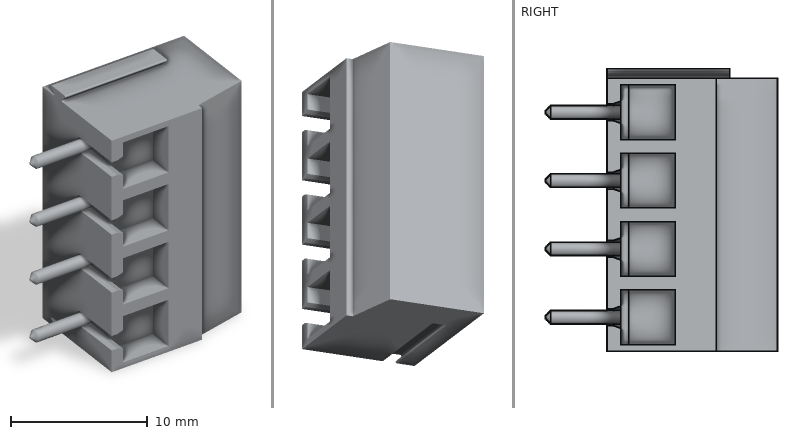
import cadquery as cq
import math

POLES = 4
PITCH = 5.0
HOUSING_WIDTH = 9.0
HOUSING_DEPTH = 12.5
HOUSING_HEIGHT = POLES * PITCH
STEP_DEPTH = 8.0
STEP_WIDTH = 8.5
BACK_WIDTH = 7.5

RAIL_X = 2.0
RAIL_LENGTH = 9.0
RAIL_HEIGHT = 0.7
RAIL_TOP_WIDTH = 2.2
RAIL_FOOT_WIDTH = 0.65
RAIL_ROUNDING = 0.1

PIN_X = 5.0
PIN_DIAMETER = 1.0
PIN_LENGTH = 4.5
PIN_TIP_DIAMETER = 0.2
PIN_TIP_LENGTH = (PIN_DIAMETER - PIN_TIP_DIAMETER) / 2

SLOT_WIDTH = 1.25
SLOT_STRAIGHT_DEPTH = 0.5
SLOT_DEPTH = 1.0
SLOT_FLOOR_WIDTH = 1.6
SLOT_FLARE_ANGLE = math.degrees(
    math.atan2((SLOT_FLOOR_WIDTH - SLOT_WIDTH) / 2, SLOT_DEPTH - SLOT_STRAIGHT_DEPTH)
)

CHAMBER_SIZE = 4.0
CHAMBER_X = 7.0
NOSE_RADIUS = 0.3


def make_housing():
    outline = [
        (0, 0),
        (HOUSING_WIDTH, 0),
        (HOUSING_WIDTH, STEP_DEPTH),
        (STEP_WIDTH, STEP_DEPTH),
        (BACK_WIDTH, HOUSING_DEPTH),
        (0, HOUSING_DEPTH),
    ]
    return cq.Workplane("XY").polyline(outline).close().extrude(HOUSING_HEIGHT)


def make_dovetail(base_z):
    """Dovetail bar standing on base_z, running back from the front face."""
    corner_angle = math.atan2(RAIL_HEIGHT, (RAIL_TOP_WIDTH - RAIL_FOOT_WIDTH) / 2)
    setback = RAIL_ROUNDING / math.tan(corner_angle / 2)
    flank_x = setback * math.cos(corner_angle)
    flank_z = setback * math.sin(corner_angle)
    tip_x = RAIL_TOP_WIDTH / 2
    foot_x = RAIL_FOOT_WIDTH / 2
    profile = (
        cq.Workplane("XZ", origin=(RAIL_X, 0, base_z))
        .moveTo(foot_x + setback, 0)
        .radiusArc((foot_x + flank_x, flank_z), RAIL_ROUNDING)
        .lineTo(tip_x - flank_x, RAIL_HEIGHT - flank_z)
        .radiusArc((tip_x - setback, RAIL_HEIGHT), -RAIL_ROUNDING)
        .lineTo(setback - tip_x, RAIL_HEIGHT)
        .radiusArc((flank_x - tip_x, RAIL_HEIGHT - flank_z), -RAIL_ROUNDING)
        .lineTo(-foot_x - flank_x, flank_z)
        .radiusArc((-foot_x - setback, 0), RAIL_ROUNDING)
        .close()
    )
    return profile.extrude(-RAIL_LENGTH)


def make_slot_layer(center_z, start_y, depth, flare_angle):
    """Slot with a round end about the pin, widening backwards by flare_angle."""
    radius = SLOT_WIDTH / 2
    end_x = HOUSING_WIDTH + SLOT_WIDTH
    return (
        cq.Workplane("XZ", origin=(0, start_y, center_z))
        .moveTo(end_x, -radius)
        .lineTo(end_x, radius)
        .lineTo(PIN_X, radius)
        .threePointArc((PIN_X - radius, 0), (PIN_X, -radius))
        .close()
        .extrude(-depth, taper=-flare_angle)
    )


def make_slot(center_z):
    straight = make_slot_layer(center_z, 0, SLOT_STRAIGHT_DEPTH, 0)
    flared_depth = SLOT_DEPTH - SLOT_STRAIGHT_DEPTH
    flared = make_slot_layer(center_z, SLOT_STRAIGHT_DEPTH, flared_depth, SLOT_FLARE_ANGLE)
    return straight.union(flared)


def make_chamber(center_z):
    """Square chamber; the slot floor ends in a half-round nose at its front."""
    back_y = SLOT_DEPTH + CHAMBER_SIZE
    nose_middle = (CHAMBER_X + NOSE_RADIUS, SLOT_DEPTH + NOSE_RADIUS)
    nose_back = (CHAMBER_X, SLOT_DEPTH + 2 * NOSE_RADIUS)
    return (
        cq.Workplane("XY", origin=(0, 0, center_z - CHAMBER_SIZE / 2))
        .moveTo(CHAMBER_X, SLOT_DEPTH)
        .lineTo(HOUSING_WIDTH, SLOT_DEPTH)
        .lineTo(HOUSING_WIDTH, back_y)
        .lineTo(CHAMBER_X, back_y)
        .lineTo(*nose_back)
        .threePointArc(nose_middle, (CHAMBER_X, SLOT_DEPTH))
        .close()
        .extrude(CHAMBER_SIZE)
    )


def make_pin(center_z):
    """Pin standing on the slot floor, pointed at its front end."""
    return (
        cq.Workplane("XZ", origin=(PIN_X, SLOT_DEPTH, center_z))
        .circle(PIN_DIAMETER / 2)
        .extrude(SLOT_DEPTH + PIN_LENGTH)
        .faces("<Y")
        .chamfer(PIN_TIP_LENGTH)
    )


result = make_housing()
result = result.union(make_dovetail(HOUSING_HEIGHT))
result = result.cut(make_dovetail(0))

for pole in range(POLES):
    pole_z = (pole + 0.5) * PITCH
    result = result.cut(make_slot(pole_z))
    result = result.cut(make_chamber(pole_z))
    result = result.union(make_pin(pole_z))